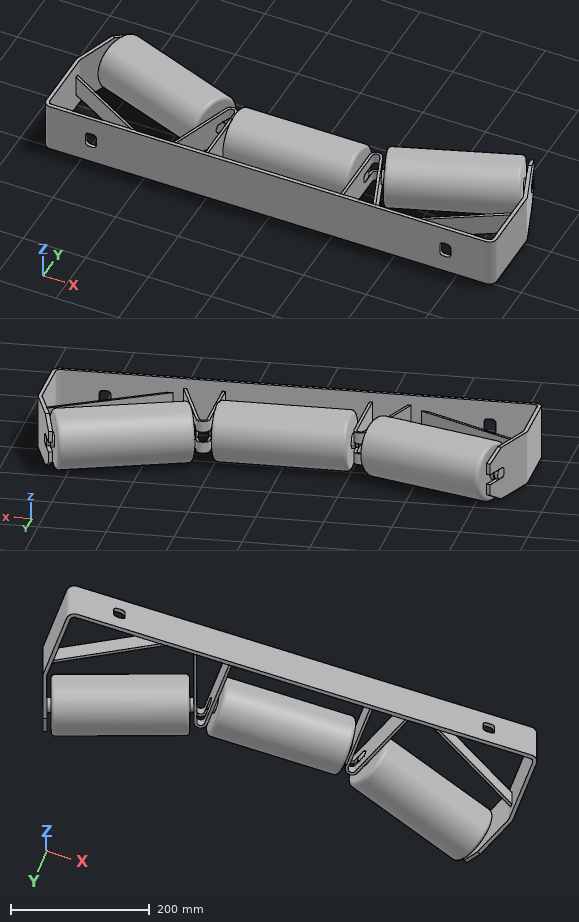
import cadquery as cq
import math

FRAME_LENGTH = 720.0
FRAME_WIDTH = 80.0
FRAME_THICKNESS = 6.0
FRAME_TIP_HEIGHT = 210.0
TILT = 20.0

ROLLER_DIAMETER = 89.0
ROLLER_LENGTH = 200.0
ROLLER_ROUNDING = 6.0
ROLLER_END_GAP = 6.0
SHOULDER_DIAMETER = 22.0
TIP_DIAMETER = 18.0
TIP_FLATS = 15.0
SLOT_REACH = ROLLER_DIAMETER
CENTRE_ROLLER_Y = 99.0
TILTED_ROLLER_Y = 144.0

TIP_CHAMFER_ALONG = 31.0
TIP_CHAMFER_ACROSS = 16.0
HOLE_SPACING = 566.0
HOLE_WIDTH = 17.0
HOLE_HEIGHT = 24.0
HOLE_CORNER_RADIUS = 6.0

BRACKET_WIDTH = 50.0
BRACKET_THICKNESS = 4.0
BRACKET_BEND_RADIUS = 6.0
BRACKET_TOP_Y = 128.0

BRACE_THICKNESS = 4.0
BRACE_WIDTH = 34.0
BRACE_ANGLE = 30.0
BRACE_FOOT_X = 183.0

TILT_SIN = math.sin(math.radians(TILT))
TILT_COS = math.cos(math.radians(TILT))
LEG_OFFSET = ROLLER_LENGTH / 2 + ROLLER_END_GAP
HALF_LENGTH = FRAME_LENGTH / 2
BRACKET_OUTER_RADIUS = BRACKET_BEND_RADIUS + BRACKET_THICKNESS
CROWN_X = LEG_OFFSET + BRACKET_OUTER_RADIUS
CROWN_Y = BRACKET_TOP_Y - BRACKET_OUTER_RADIUS
TILTED_ROLLER_X = (
    CROWN_X + (LEG_OFFSET + BRACKET_OUTER_RADIUS - (TILTED_ROLLER_Y - CROWN_Y) * TILT_SIN) / TILT_COS
)
FRAME_BEND_Y = (
    TILTED_ROLLER_Y
    + (LEG_OFFSET + FRAME_THICKNESS - (HALF_LENGTH - TILTED_ROLLER_X) * TILT_COS) / TILT_SIN
)
FRAME_TIP_X = HALF_LENGTH - (FRAME_TIP_HEIGHT - FRAME_BEND_Y) * math.tan(math.radians(TILT))


def mirrored(body):
    return body.mirror("YZ")


def tilted_on_right(body):
    """Move a body built around the origin, axis along X, to the right-hand tilted roller."""
    return body.rotate((0, 0, 0), (0, 0, 1), TILT).translate((TILTED_ROLLER_X, TILTED_ROLLER_Y, 0))


def line_offset(start, end, distance):
    """A point on, and the direction of, the line start-end shifted to its left."""
    length = math.dist(start, end)
    dx = (end[0] - start[0]) / length
    dy = (end[1] - start[1]) / length
    return (start[0] - dy * distance, start[1] + dx * distance), (dx, dy)


def crossing(line_a, line_b):
    """Where two lines, each a point and a direction, meet."""
    (ax, ay), (adx, ady) = line_a
    (bx, by), (bdx, bdy) = line_b
    along = ((bx - ax) * bdy - (by - ay) * bdx) / (adx * bdy - ady * bdx)
    return (ax + along * adx, ay + along * ady)


def folded_strip(outside, width, thickness, inside_radius):
    """Fold a strip so that its outside face follows the given points, always turning left."""
    lines = [line_offset(a, b, thickness) for a, b in zip(outside, outside[1:])]
    first_end = lines[0][0]
    last_end = line_offset(outside[-1], outside[-2], -thickness)[0]
    inside_corners = [crossing(a, b) for a, b in zip(lines, lines[1:])]
    outline = outside + [last_end] + inside_corners[::-1] + [first_end]
    strip = cq.Workplane("XY").polyline(outline).close().extrude(width / 2, both=True)
    bends = [(corner, inside_radius) for corner in inside_corners]
    bends += [(corner, inside_radius + thickness) for corner in outside[1:-1]]
    for (x, y), radius in bends:
        strip = strip.edges(cq.selectors.NearestToPointSelector((x, y, 0))).fillet(radius)
    return strip


def shaft_tip(length):
    """Round shaft end with two flats, starting at X = 0."""
    flats = cq.Workplane("XY").box(length, TIP_DIAMETER, TIP_FLATS, centered=(False, True, True))
    return cq.Workplane("YZ").circle(TIP_DIAMETER / 2).extrude(length).intersect(flats)


def slot_cutter(length):
    """Shaft tip and the open path above it, starting at X = 0."""
    path = cq.Workplane("XY").box(length, SLOT_REACH, TIP_FLATS, centered=(False, False, True))
    return path.union(shaft_tip(length))


def make_roller(left_tip, right_tip):
    """Roller along X around the origin, with the shaft ends that its supports need."""
    shell = (
        cq.Workplane("YZ", origin=(-ROLLER_LENGTH / 2, 0, 0))
        .circle(ROLLER_DIAMETER / 2).extrude(ROLLER_LENGTH)
        .faces("<X or >X").edges().fillet(ROLLER_ROUNDING)
    )
    shoulders = cq.Workplane("YZ").circle(SHOULDER_DIAMETER / 2).extrude(LEG_OFFSET, both=True)
    left = mirrored(shaft_tip(LEG_OFFSET + left_tip))
    right = shaft_tip(LEG_OFFSET + right_tip)
    return shell.union(shoulders).union(left).union(right)


def make_frame():
    right_side = [(HALF_LENGTH, 0), (HALF_LENGTH, FRAME_BEND_Y), (FRAME_TIP_X, FRAME_TIP_HEIGHT)]
    left_side = [(-x, y) for x, y in reversed(right_side)]
    frame = folded_strip(left_side + right_side, FRAME_WIDTH, FRAME_THICKNESS, FRAME_THICKNESS)

    tip_y = (FRAME_TIP_HEIGHT - TILTED_ROLLER_Y) * TILT_COS - (FRAME_TIP_X - TILTED_ROLLER_X) * TILT_SIN
    corner = (
        cq.Workplane("YZ", origin=(LEG_OFFSET - ROLLER_END_GAP, 0, 0))
        .polyline([
            (tip_y, FRAME_WIDTH / 2),
            (tip_y - TIP_CHAMFER_ALONG, FRAME_WIDTH / 2),
            (tip_y, FRAME_WIDTH / 2 - TIP_CHAMFER_ACROSS),
        ])
        .close().extrude(2 * ROLLER_END_GAP + FRAME_THICKNESS)
    )
    slot = slot_cutter(FRAME_THICKNESS).translate((LEG_OFFSET, 0, 0))
    for cutter in (slot, corner, corner.mirror("XY")):
        placed = tilted_on_right(cutter)
        frame = frame.cut(placed).cut(mirrored(placed))

    holes = (
        cq.Workplane("XZ").rarray(HOLE_SPACING, 7, 2, 1).rect(HOLE_WIDTH, HOLE_HEIGHT)
        .extrude(-FRAME_THICKNESS).edges("|Y").fillet(HOLE_CORNER_RADIUS)
    )
    return frame.cut(holes)


def make_bracket():
    """Right-hand bracket: upright leg beside the middle roller, sloping leg beside the tilted one."""
    apex_rise = BRACKET_OUTER_RADIUS / math.tan(math.radians(TILT / 2))
    apex_y = CROWN_Y + apex_rise
    foot_x = LEG_OFFSET + apex_y * math.tan(math.radians(TILT))
    outside = [(foot_x, 0), (LEG_OFFSET, apex_y), (LEG_OFFSET, 0)]
    bracket = folded_strip(outside, BRACKET_WIDTH, BRACKET_THICKNESS, BRACKET_BEND_RADIUS)
    base = cq.Workplane("XY").box(FRAME_LENGTH, 2 * FRAME_THICKNESS, FRAME_WIDTH)
    bracket = bracket.cut(base)

    upright_slot = slot_cutter(BRACKET_THICKNESS).translate((LEG_OFFSET, CENTRE_ROLLER_Y, 0))
    sloping_slot = tilted_on_right(mirrored(slot_cutter(BRACKET_THICKNESS).translate((LEG_OFFSET, 0, 0))))
    crown_slot = (
        cq.Workplane("XY").box(2 * BRACKET_OUTER_RADIUS, BRACKET_OUTER_RADIUS, TIP_FLATS,
                               centered=(True, False, True))
        .translate((CROWN_X, CROWN_Y, 0))
    )
    return bracket.cut(upright_slot).cut(sloping_slot).cut(crown_slot)


def make_brace():
    """Right-hand brace: sloping flat bar cut flush with the base and the side of the frame."""
    side_x = HALF_LENGTH - FRAME_THICKNESS
    rise = (side_x - BRACE_FOOT_X) * math.tan(math.radians(BRACE_ANGLE))
    upright = BRACE_THICKNESS / math.cos(math.radians(BRACE_ANGLE))
    level = BRACE_THICKNESS / math.sin(math.radians(BRACE_ANGLE))
    outline = [
        (BRACE_FOOT_X, FRAME_THICKNESS),
        (BRACE_FOOT_X + level, FRAME_THICKNESS),
        (side_x, FRAME_THICKNESS + rise - upright),
        (side_x, FRAME_THICKNESS + rise),
    ]
    return cq.Workplane("XY").polyline(outline).close().extrude(BRACE_WIDTH / 2, both=True)


frame = make_frame()
centre_roller = make_roller(BRACKET_THICKNESS, BRACKET_THICKNESS).translate((0, CENTRE_ROLLER_Y, 0))
right_roller = tilted_on_right(make_roller(BRACKET_THICKNESS, FRAME_THICKNESS))
right_bracket = make_bracket()
right_brace = make_brace()

bodies = [frame, centre_roller]
for body in (right_roller, right_bracket, right_brace):
    bodies += [body, mirrored(body)]
result = cq.Compound.makeCompound([body.val() for body in bodies])